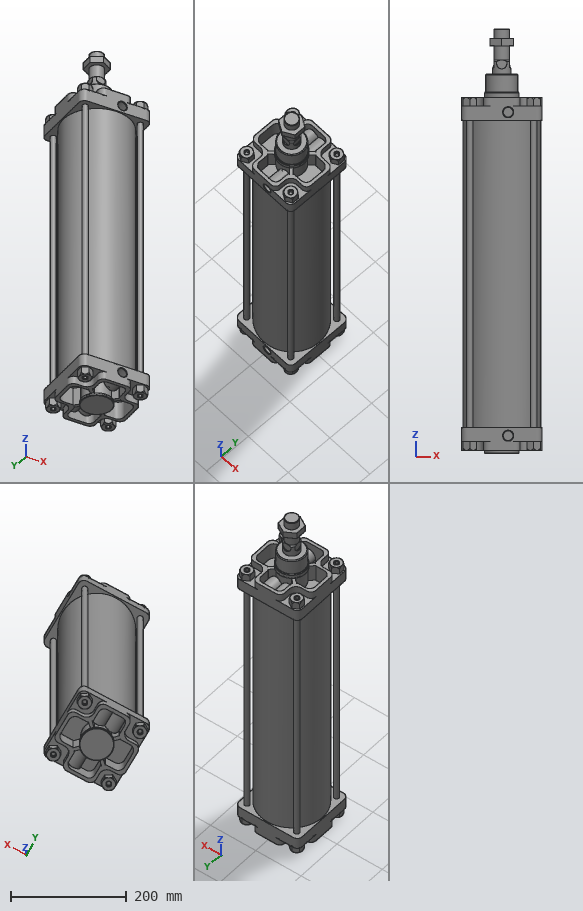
import cadquery as cq
import math

TOTAL_LENGTH = 735.0
SPIGOT_HEIGHT = 5.0
SPIGOT_CHAMFER = 1.1
HEAD_HEIGHT = 40.0
REAR_HEAD_BASE = SPIGOT_HEIGHT
FRONT_HEAD_TOP = 617.0
REAR_HEAD_TOP = REAR_HEAD_BASE + HEAD_HEIGHT
FRONT_HEAD_BASE = FRONT_HEAD_TOP - HEAD_HEIGHT

HEAD_SIDE = 140.0
HEAD_CORNER_RADIUS = 11.0
CORNER_STEP_DEPTH = 15.5
ARM_HALF_WIDTH = 31.5
ARM_CORNER_RADIUS = 11.0
STEP_INNER_RADIUS = 15.0
X_POCKET_HALF_WIDTH = 26.5
Y_POCKET_HALF_WIDTH = 26.0
POCKET_REACH = 63.0
X_POCKET_CORNER_RADIUS = 12.5
Y_POCKET_CORNER_RADIUS = 11.0
POCKET_DEPTH = 35.0
RELIEF_DIAMETER = 15.0
RELIEF_OFFSET = 25.0
RIB_THICKNESS = 6.5
HUB_DIAMETER = 56.0
COLLAR_DIAMETER = 60.0

PORT_DIAMETER = 17.0
PORT_MOUTH_DIAMETER = 19.0
PORT_OFFSET = 11.0
PORT_DEPTH_BELOW_FACE = 26.0
PORT_LENGTH = 40.5
SIDE_BOSS_DIAMETER = 31.0
SIDE_BOSS_OFFSET = 13.0
SIDE_BOSS_DEPTH_BELOW_FACE = 30.0

BARREL_DIAMETER = 135.0
TIE_ROD_DIAMETER = 11.0
TIE_ROD_OFFSET = 55.0
TIE_NUT_FLATS = 23.5
TIE_NUT_CHAMFER_HEIGHT = 4.0
SOCKET_RECESS_DIAMETER = 10.0
SOCKET_RECESS_DEPTH = 1.5
SOCKET_FLATS = 8.0
SOCKET_DEPTH = 7.0

COLLAR_TOP = 625.5
COLLAR_CHAMFER = 1.5
GLAND_DIAMETER = HUB_DIAMETER
GLAND_TOP = 657.0
GLAND_CHAMFER = 1.85

ROD_DIAMETER = 32.0
THREAD_DIAMETER = 27.0
ROD_SHOULDER_Z = 681.0
WRENCH_FLATS = THREAD_DIAMETER
FLAT_ROUND_CENTER_Z = 675.0
THREAD_CHAMFER = 1.1
ROD_NUT_FLATS = 41.0
ROD_NUT_HEIGHT = 13.0
ROD_NUT_BASE = 705.5


def hexagon_diameter(across_flats):
    return across_flats / math.cos(math.pi / 6)


def cylinder(diameter, base, top):
    return cq.Workplane("XY").workplane(offset=base).circle(diameter / 2).extrude(top - base)


def hex_prism(across_flats, base, top):
    """Hexagonal prism with two corners on the Y direction."""
    prism = cq.Workplane("XY").polygon(6, hexagon_diameter(across_flats)).extrude(top - base)
    return prism.rotate((0, 0, 0), (0, 0, 1), 90).translate((0, 0, base))


def corner_step(sign_x, sign_y):
    """Cutter that lowers one corner of a head and rounds the arms beside it."""
    edge = HEAD_SIDE / 2
    arm = ARM_HALF_WIDTH
    round_out = ARM_CORNER_RADIUS
    round_in = STEP_INNER_RADIUS
    bevel_out = round_out * (1 - math.sqrt(0.5))
    bevel_in = round_in * (1 - math.sqrt(0.5))
    outline = (
        cq.Workplane("XY")
        .moveTo(edge, edge)
        .lineTo(arm - round_out, edge)
        .threePointArc((arm - bevel_out, edge - bevel_out), (arm, edge - round_out))
        .lineTo(arm, arm + round_in)
        .threePointArc((arm + bevel_in, arm + bevel_in), (arm + round_in, arm))
        .lineTo(edge - round_out, arm)
        .threePointArc((edge - bevel_out, arm - bevel_out), (edge, arm - round_out))
        .close()
    )
    cutter = outline.extrude(-CORNER_STEP_DEPTH)
    if sign_x < 0:
        cutter = cutter.mirror("YZ")
    if sign_y < 0:
        cutter = cutter.mirror("XZ")
    return cutter


def pockets():
    """The four pockets with round inner corner reliefs, parted by the hub and diagonal ribs."""
    floor = -POCKET_DEPTH
    reach = 2 * POCKET_REACH
    along_x = cq.Workplane("XY").rect(reach, 2 * X_POCKET_HALF_WIDTH).extrude(floor)
    along_x = along_x.edges("|Z").fillet(X_POCKET_CORNER_RADIUS)
    along_y = cq.Workplane("XY").rect(2 * Y_POCKET_HALF_WIDTH, reach).extrude(floor)
    along_y = along_y.edges("|Z").fillet(Y_POCKET_CORNER_RADIUS)
    reliefs = cq.Workplane("XY").rect(2 * RELIEF_OFFSET, 2 * RELIEF_OFFSET, forConstruction=True)
    reliefs = reliefs.vertices().circle(RELIEF_DIAMETER / 2).extrude(floor)
    cross = along_x.union(along_y).union(reliefs).cut(cylinder(HUB_DIAMETER, floor, 0))
    for angle in (45, 135):
        rib = cq.Workplane("XY").rect(HEAD_SIDE, RIB_THICKNESS).extrude(floor)
        cross = cross.cut(rib.rotate((0, 0, 0), (0, 0, 1), angle))
    return cross


def side_boss(x, sign_y):
    """Round boss along Y, from beside the hub to the outer wall."""
    inner_end = (x, sign_y * Y_POCKET_HALF_WIDTH, -SIDE_BOSS_DEPTH_BELOW_FACE)
    boss = cq.Workplane("XZ", origin=inner_end).circle(SIDE_BOSS_DIAMETER / 2)
    return boss.extrude(-sign_y * (POCKET_REACH - Y_POCKET_HALF_WIDTH))


def port():
    """Cutter for the blind air port in the -Y face, with a chamfered mouth."""
    mouth_depth = (PORT_MOUTH_DIAMETER - PORT_DIAMETER) / 2
    profile = (
        cq.Workplane("XY")
        .lineTo(PORT_MOUTH_DIAMETER / 2, 0)
        .lineTo(PORT_DIAMETER / 2, mouth_depth)
        .lineTo(PORT_DIAMETER / 2, PORT_LENGTH)
        .lineTo(0, PORT_LENGTH)
        .close()
    )
    bore = profile.revolve(360, (0, 0, 0), (0, 1, 0))
    return bore.translate((PORT_OFFSET, -HEAD_SIDE / 2, -PORT_DEPTH_BELOW_FACE))


def tie_nut():
    """Chamfered tie rod nut that fills the height of a corner step."""
    base = -CORNER_STEP_DEPTH
    nut = hex_prism(TIE_NUT_FLATS, base, 0)
    corner_diameter = hexagon_diameter(TIE_NUT_FLATS)
    chamfer_width = (corner_diameter - TIE_NUT_FLATS) / 2
    blank = cylinder(corner_diameter, base, 0)
    blank = blank.faces(">Z").chamfer(TIE_NUT_CHAMFER_HEIGHT, chamfer_width)
    nut = nut.intersect(blank).cut(cylinder(SOCKET_RECESS_DIAMETER, -SOCKET_RECESS_DEPTH, 0))
    return nut.cut(hex_prism(SOCKET_FLATS, -SOCKET_DEPTH, 0))


def head():
    """Head whose outer face lies on Z = 0 and points up."""
    block = cq.Workplane("XY").rect(HEAD_SIDE, HEAD_SIDE).extrude(-HEAD_HEIGHT)
    block = block.edges("|Z").fillet(HEAD_CORNER_RADIUS)
    pocket_space = pockets()
    block = block.cut(pocket_space)
    for x, sign_y in ((SIDE_BOSS_OFFSET, -1), (SIDE_BOSS_OFFSET, 1), (-SIDE_BOSS_OFFSET, 1)):
        block = block.union(side_boss(x, sign_y).intersect(pocket_space))
    block = block.cut(port())
    for sign_x in (-1, 1):
        for sign_y in (-1, 1):
            block = block.cut(corner_step(sign_x, sign_y))
            place = (sign_x * TIE_ROD_OFFSET, sign_y * TIE_ROD_OFFSET, 0)
            block = block.union(tie_nut().translate(place))
    return block


def make_housing():
    """Both heads, the barrel, the tie rods, the rear spigot and the rod gland."""
    front_head = head().translate((0, 0, FRONT_HEAD_TOP))
    rear_head = head().mirror("XY").translate((0, 0, REAR_HEAD_BASE))
    body = front_head.union(rear_head)
    body = body.union(cylinder(BARREL_DIAMETER, REAR_HEAD_TOP, FRONT_HEAD_BASE))
    for sign_x in (-1, 1):
        for sign_y in (-1, 1):
            tie_rod = cylinder(TIE_ROD_DIAMETER, REAR_HEAD_TOP, FRONT_HEAD_BASE)
            place = (sign_x * TIE_ROD_OFFSET, sign_y * TIE_ROD_OFFSET, 0)
            body = body.union(tie_rod.translate(place))
    spigot = cylinder(COLLAR_DIAMETER, 0, REAR_HEAD_BASE).faces("<Z").chamfer(SPIGOT_CHAMFER)
    collar = cylinder(COLLAR_DIAMETER, FRONT_HEAD_TOP, COLLAR_TOP).faces(">Z").chamfer(COLLAR_CHAMFER)
    gland = cylinder(GLAND_DIAMETER, COLLAR_TOP, GLAND_TOP).faces(">Z").chamfer(GLAND_CHAMFER)
    body = body.union(spigot).union(collar).union(gland)
    return body.cut(cylinder(ROD_DIAMETER, FRONT_HEAD_BASE, GLAND_TOP))


def wrench_flat():
    """Cutter for the flat on the +X side of the rod, with a round lower end as wide as the flat."""
    flat_x = WRENCH_FLATS / 2
    rod_radius = ROD_DIAMETER / 2
    half_width = math.sqrt(rod_radius**2 - flat_x**2)
    height = ROD_SHOULDER_Z - FLAT_ROUND_CENTER_Z
    plane = cq.Workplane("YZ", origin=(flat_x, 0, FLAT_ROUND_CENTER_Z))
    round_end = plane.circle(half_width).extrude(rod_radius)
    straight = plane.center(0, height / 2).rect(ROD_DIAMETER, height).extrude(rod_radius)
    return straight.union(round_end)


def make_piston_rod():
    """Rod with four wrench flats below its threaded end."""
    chamfer = (ROD_DIAMETER - THREAD_DIAMETER) / 2
    rod = cylinder(ROD_DIAMETER, FRONT_HEAD_BASE, ROD_SHOULDER_Z).faces(">Z").chamfer(chamfer)
    for angle in (0, 90, 180, 270):
        rod = rod.cut(wrench_flat().rotate((0, 0, 0), (0, 0, 1), angle))
    thread = cylinder(THREAD_DIAMETER, ROD_SHOULDER_Z, TOTAL_LENGTH).faces(">Z").chamfer(THREAD_CHAMFER)
    return rod.union(thread)


def make_rod_nut():
    top = ROD_NUT_BASE + ROD_NUT_HEIGHT
    return hex_prism(ROD_NUT_FLATS, ROD_NUT_BASE, top).cut(cylinder(THREAD_DIAMETER, ROD_NUT_BASE, top))


housing = make_housing()
piston_rod = make_piston_rod()
rod_nut = make_rod_nut()

result = cq.Compound.makeCompound([housing.val(), piston_rod.val(), rod_nut.val()])